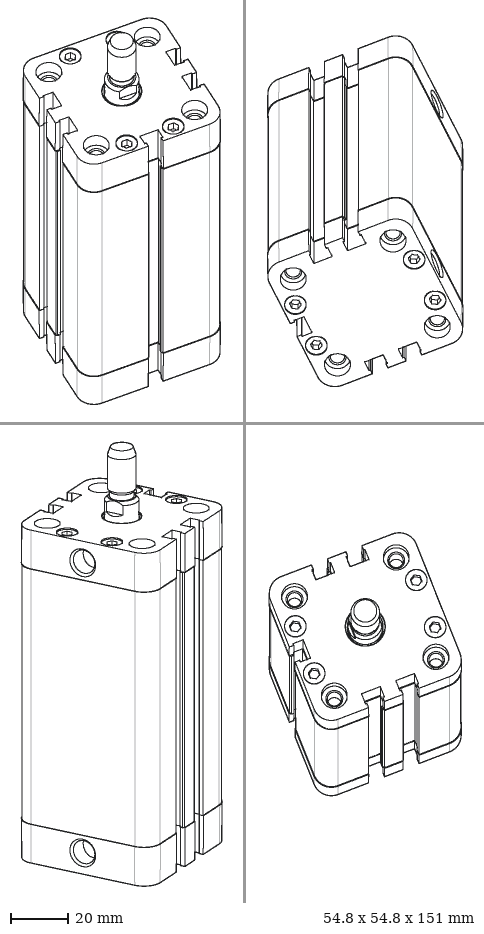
import cadquery as cq

total_height = 151.0
rod_projection = 26.0
body_height = total_height - rod_projection

cap_width = 54.8
cap_height = 14.6
cap_draft_deg = 0.5
corner_tangent = 20.8

barrel_width = 54.3
barrel_height = body_height - 2 * cap_height

slot_inner_width = 7.0
slot_offset = 6.4
slot_lip_depth = 1.8
cap_slot_floor = 21.8
barrel_slot_floor = 22.1
pair_inner_edge = 3.47
pair_outer_edge = 9.4
side_opening = 5.7
barrel_lip = 0.46

mount_pitch = 38.0
mount_bore = 9.0
mount_bore_depth = 5.0
mount_rim = 5.9
mount_core = 4.92

screw_x = 22.6
screw_y = 9.0
screw_head = 7.5
screw_recess = 0.5
socket_flats = 3.5
socket_depth = 3.0

port_height = 8.0
port_mouth = 10.4
port_core = 8.57
port_chamfer = 1.0
port_floor_diameter = 40.0

rod_diameter = 12.0
thread_diameter = 10.0
tip_diameter = 8.0
tip_length = 2.9
thread_length = 15.5
undercut_taper = 1.0
neck_diameter = 8.57
shoulder_drop = 18.6
shoulder_chamfer = 1.1
shoulder_chamfer_length = 1.2
flats_width = 10.0
flats_drop = 23.3
flats_run_out = 0.8

rod_mouth = 14.0
rod_recess = 13.7
rod_recess_depth = 0.5
rod_clearance = 12.54
rod_clearance_depth = 2.0

cut_margin = 1.0


def slot_cutter(centre, floor, face, mouth, bevels, bottom, height):
    """Prism that cuts one T-slot into the +Y face.

    `mouth` holds the low and high X edges of the opening, and `bevels` the size of the
    45 degree bevel at each of them, where the opening meets the outer face.
    """
    lip = cap_width / 2 - slot_lip_depth
    low, high = mouth
    low_bevel, high_bevel = bevels
    low_side = centre - slot_inner_width / 2
    high_side = centre + slot_inner_width / 2
    outline = [
        (low_side, floor),
        (high_side, floor),
        (high_side, lip),
        (high, lip),
        (high, face - high_bevel),
        (high + high_bevel, face),
        (high + high_bevel, face + cut_margin),
        (low - low_bevel, face + cut_margin),
        (low - low_bevel, face),
        (low, face - low_bevel),
        (low, lip),
        (low_side, lip),
    ]
    corners = [point for i, point in enumerate(outline) if point != outline[i - 1]]
    return cq.Workplane("XY").workplane(offset=bottom).polyline(corners).close().extrude(height)


def cut_slots(body, floor, face, lip_reach, bottom, height):
    """Cut the paired slots in the -Y and +Y faces and the single slot in the +X face."""
    pair = slot_cutter(
        slot_offset, floor, face,
        (pair_inner_edge + lip_reach, pair_outer_edge), (lip_reach, 0), bottom, height,
    )
    pair = pair.union(pair.mirror("YZ"))
    side_edge = side_opening / 2 - lip_reach
    side = slot_cutter(
        0, floor, face, (-side_edge, side_edge), (lip_reach, lip_reach), bottom, height,
    ).rotate((0, 0, 0), (0, 0, 1), -90)
    return body.cut(pair).cut(pair.mirror("XZ")).cut(side)


def rounded_square(width, bottom):
    """Square outline about the Z axis whose corners are rounded beyond the tangent points."""
    return (
        cq.Workplane("XY")
        .workplane(offset=bottom)
        .sketch()
        .rect(width, width)
        .vertices()
        .fillet(width / 2 - corner_tangent)
        .finalize()
    )


def revolved(profile):
    """Turn a closed (radius, z) profile around the Z axis."""
    return cq.Workplane("XZ").polyline(profile).close().revolve(360, (0, 0, 0), (0, 1, 0))


def mounting_hole():
    """Counterbored hole through a cap, with a countersunk rim at the counterbore's floor."""
    floor = cap_height - mount_bore_depth
    core = mount_core / 2
    return revolved([
        (0, 0),
        (core, 0),
        (core, floor - (mount_rim / 2 - core)),
        (mount_rim / 2, floor),
        (mount_bore / 2, floor),
        (mount_bore / 2, cap_height),
        (0, cap_height),
    ])


def screw_socket():
    """Round recess down to a screw head, with a hexagon socket below it."""
    head = cap_height - screw_recess
    recess = cq.Workplane("XY").workplane(offset=head).circle(screw_head / 2).extrude(screw_recess)
    hexagon = (
        cq.Workplane("XY")
        .workplane(offset=head - socket_depth)
        .polygon(6, socket_flats, circumscribed=True)
        .extrude(socket_depth)
    )
    return recess.union(hexagon)


def air_port():
    """Chamfered port in the -X face that ends on a round floor about the Z axis."""
    face = cap_width / 2
    port = (
        cq.Workplane("XY")
        .polyline([
            (-face - cut_margin, 0),
            (-face - cut_margin, port_mouth / 2),
            (-face, port_mouth / 2),
            (-face + port_chamfer, port_core / 2),
            (0, port_core / 2),
            (0, 0),
        ])
        .close()
        .revolve(360, (0, 0, 0), (1, 0, 0))
        .translate((0, 0, cap_height - port_height))
    )
    floor = cq.Workplane("XY").circle(port_floor_diameter / 2).extrude(cap_height)
    return port.cut(floor)


def plain_cap():
    """Cap with its inner face on Z = 0 and its outer face up."""
    cap = rounded_square(cap_width, 0).extrude(cap_height, taper=cap_draft_deg)
    cap = cut_slots(cap, cap_slot_floor, cap_width / 2, 0, 0, cap_height)
    for side_x in (-1, 1):
        for side_y in (-1, 1):
            hole_position = (side_x * mount_pitch / 2, side_y * mount_pitch / 2, 0)
            screw_position = (side_x * screw_x, side_y * screw_y, 0)
            cap = cap.cut(mounting_hole().translate(hole_position))
            cap = cap.cut(screw_socket().translate(screw_position))
    return cap.cut(air_port())


def make_barrel():
    """Slotted profile that fills the length between the two caps."""
    barrel = rounded_square(barrel_width, cap_height).extrude(barrel_height)
    return cut_slots(
        barrel, barrel_slot_floor, barrel_width / 2, barrel_lip, cap_height, barrel_height
    )


def make_rear_cap():
    """Cap turned over, with its outer face on Z = 0."""
    return plain_cap().mirror("XY").translate((0, 0, cap_height))


def make_front_cap():
    """Cap at the rod end, with a stepped hole for the rod."""
    recess_floor = cap_height - rod_recess_depth
    clearance_floor = cap_height - rod_clearance_depth
    rod_hole = revolved([
        (0, 0),
        (rod_diameter / 2, 0),
        (rod_diameter / 2, clearance_floor),
        (rod_clearance / 2, clearance_floor),
        (rod_clearance / 2, recess_floor),
        (rod_recess / 2, recess_floor),
        (rod_recess / 2, cap_height - (rod_mouth - rod_recess) / 2),
        (rod_mouth / 2, cap_height),
        (0, cap_height),
    ])
    return plain_cap().cut(rod_hole).translate((0, 0, body_height - cap_height))


def make_piston_rod():
    """Rod with a bevelled thread end, an undercut neck and two wrench flats facing X."""
    rod = rod_diameter / 2
    thread = thread_diameter / 2
    neck = neck_diameter / 2
    foot = body_height - cap_height
    thread_foot = total_height - thread_length
    shoulder = total_height - shoulder_drop
    body = revolved([
        (0, foot),
        (rod, foot),
        (rod, shoulder - shoulder_chamfer_length),
        (rod - shoulder_chamfer, shoulder),
        (neck, shoulder),
        (neck, thread_foot - undercut_taper),
        (thread, thread_foot),
        (thread, total_height - tip_length),
        (tip_diameter / 2, total_height),
        (0, total_height),
    ])
    flat = flats_width / 2
    flats_foot = total_height - flats_drop
    flat_depth = rod - flat
    cutter = (
        cq.Workplane("XZ")
        .polyline([
            (flat, flats_foot),
            (flat + 2 * flat_depth, flats_foot - 2 * flats_run_out),
            (flat + 2 * flat_depth, shoulder),
            (flat, shoulder),
        ])
        .close()
        .extrude(rod, both=True)
    )
    return body.cut(cutter).cut(cutter.mirror("YZ"))


barrel = make_barrel()
rear_cap = make_rear_cap()
front_cap = make_front_cap()
piston_rod = make_piston_rod()

result = cq.Compound.makeCompound([
    barrel.val(),
    rear_cap.val(),
    front_cap.val(),
    piston_rod.val(),
])